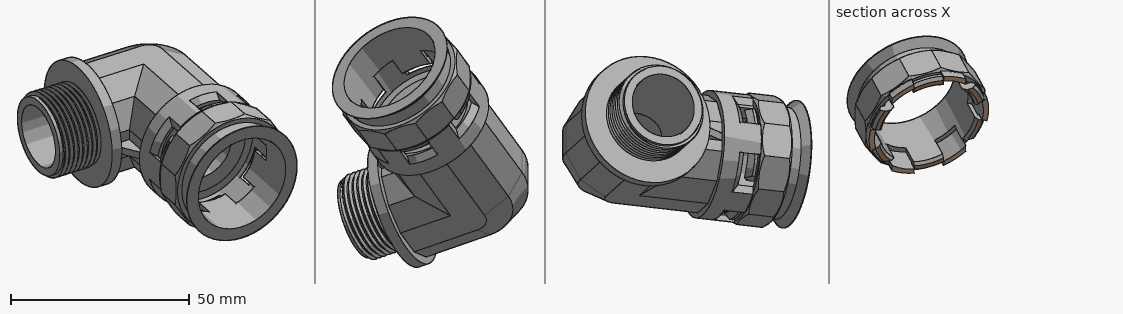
import cadquery as cq
import math


SIDES = 12
ELBOW_APOTHEM = 16.0
BORE_RADIUS = 9.2
FLANGE_RADIUS = 18.55
FLANGE_TOP = 20.0
FLANGE_THICKNESS = 3.1
THREADED_END = 36.05
RIB_THICKNESS = 2.2
SPIGOT_RADIUS = 13.8

THREAD_ROOT_RADIUS = 11.55
THREAD_HEIGHT = 1.0
THREAD_BASE = 1.1
THREAD_TURNS = 9
THREAD_LENGTH = 13.5
THREAD_SINK = 0.2
THREAD_START = 22.35
THREAD_END = 34.9

SLEEVE_START = 24.7
SLEEVE_RADIUS = 18.0
SLEEVE_BORE_RADIUS = 16.25
WINDOW_START = 29.4
GRIP_START = 35.7
GRIP_END = 44.95
GRIP_APOTHEM = 17.9
GRIP_FACE_RADIUS = 17.65
WINDOW_HALF_WIDTH = 4.35
CORNER_WINDOW_Y = 11.1
CORNER_WINDOW_Z = 4.5
CORNER_WALL_SLOPE = 30

INSERT_RADIUS = 15.8
INSERT_BORE_RADIUS = 14.25
INSERT_END = 50.6
RIM_RADIUS = 18.0
RIM_WIDTH = 0.2
CLAW_TIP = 32.65
BARB_RADIUS = 17.35
BARB_END = 35.1
CORNER_CLAW_TOP = 9.95
CLAW_ARM_END = 40.1

MARGIN = 0.7


def dodecagon(apothem):
    """Corners of a regular twelve-sided outline with flats on both axes."""
    corner_radius = apothem / math.cos(math.pi / SIDES)
    angles = [math.pi * (2 * i + 1) / SIDES for i in range(SIDES)]
    return [(corner_radius * math.cos(a), corner_radius * math.sin(a)) for a in angles]


def prism_along_x(outline, start, end):
    """Prism with a (y, z) outline between two X positions."""
    return cq.Workplane("YZ", origin=(start, 0, 0)).polyline(outline).close().extrude(end - start)


def cylinder_along_x(radius, start, end):
    return cq.Workplane("YZ", origin=(start, 0, 0)).circle(radius).extrude(end - start)


def cylinder_down_y(radius, start, end):
    """Cylinder on the Y axis between two distances in the -Y direction."""
    return cq.Workplane("XZ", origin=(0, -start, 0)).circle(radius).extrude(end - start)


def ring_about_x(profile):
    """Revolve a closed (x, radius) profile about the X axis."""
    return cq.Workplane("XY").polyline(profile).close().revolve(360, (0, 0, 0), (1, 0, 0))


def box_between(low, high):
    size = [b - a for a, b in zip(low, high)]
    return cq.Workplane("XY").box(*size, centered=False).translate(low)


def mirrored_corners(block):
    """The block and its mirror images in all four Y/Z quadrants."""
    pair = block.union(block.mirror("XZ"))
    return pair.union(pair.mirror("XY"))


def make_elbow_shell():
    conduit_leg = prism_along_x(dodecagon(ELBOW_APOTHEM), 0, SLEEVE_START)
    threaded_leg = cq.Workplane("XZ").polyline(dodecagon(ELBOW_APOTHEM)).close().extrude(FLANGE_TOP)

    half_outline = [p for p in dodecagon(ELBOW_APOTHEM) if p[0] > 0]
    half_outline = [(0, -ELBOW_APOTHEM)] + sorted(half_outline, key=lambda p: p[1]) + [(0, ELBOW_APOTHEM)]
    bend = cq.Workplane("XZ").polyline(half_outline).close().revolve(360, (0, 0, 0), (0, 1, 0))
    return conduit_leg.union(threaded_leg).union(bend)


def make_rib():
    """Triangular web between the flange and the end of the conduit leg."""
    outline = [
        (0, -ELBOW_APOTHEM),
        (SLEEVE_START, -ELBOW_APOTHEM),
        (FLANGE_RADIUS, -FLANGE_TOP),
        (0, -FLANGE_TOP),
    ]
    return cq.Workplane("XY").polyline(outline).close().extrude(RIB_THICKNESS / 2, both=True)


def make_thread():
    """Right-hand helical ridge around the threaded leg."""
    pitch = THREAD_LENGTH / THREAD_TURNS
    helix = cq.Wire.makeHelix(pitch, THREAD_LENGTH, THREAD_ROOT_RADIUS)
    inner = THREAD_ROOT_RADIUS - THREAD_SINK
    half_base = THREAD_BASE / 2 * (THREAD_HEIGHT + THREAD_SINK) / THREAD_HEIGHT
    tooth = [(inner, -half_base), (THREAD_ROOT_RADIUS + THREAD_HEIGHT, 0), (inner, half_base)]
    ridge = cq.Workplane("XZ").polyline(tooth).close().sweep(cq.Workplane(helix), isFrenet=True)
    ridge = ridge.rotate((0, 0, 0), (0, 0, 1), 180).rotate((0, 0, 0), (1, 0, 0), 90)
    ridge = ridge.translate((0, -THREAD_START, 0))
    return ridge.intersect(cylinder_down_y(FLANGE_RADIUS, FLANGE_TOP, THREAD_END))


def make_housing():
    flange = cylinder_down_y(FLANGE_RADIUS, FLANGE_TOP, FLANGE_TOP + FLANGE_THICKNESS)
    thread_core = cylinder_down_y(THREAD_ROOT_RADIUS, FLANGE_TOP, THREADED_END)
    spigot = cylinder_along_x(SPIGOT_RADIUS, 0, WINDOW_START)
    threaded_stub = thread_core.union(make_thread())
    housing = make_elbow_shell().union(make_rib()).union(flange).union(spigot).union(threaded_stub)

    bore = cylinder_along_x(BORE_RADIUS, 0, WINDOW_START + MARGIN)
    bore = bore.union(cylinder_down_y(BORE_RADIUS, 0, THREADED_END + MARGIN))
    bore = bore.union(cq.Workplane("XY").sphere(BORE_RADIUS))
    return housing.cut(bore)


def make_grip():
    """Twelve-sided grip with its corners chamfered by a cone at both ends."""
    corner_radius = GRIP_APOTHEM / math.cos(math.pi / SIDES)
    chamfer = corner_radius - GRIP_FACE_RADIUS
    barrel = ring_about_x([
        (GRIP_START, 0),
        (GRIP_START, GRIP_FACE_RADIUS),
        (GRIP_START + chamfer, corner_radius),
        (GRIP_END - chamfer, corner_radius),
        (GRIP_END, GRIP_FACE_RADIUS),
        (GRIP_END, 0),
    ])
    return prism_along_x(dodecagon(GRIP_APOTHEM), GRIP_START, GRIP_END).intersect(barrel)


def corner_wall_z(y):
    """Height of the sloping wall of a corner window at a given y."""
    surface_y = math.sqrt(SLEEVE_RADIUS**2 - CORNER_WINDOW_Z**2)
    return CORNER_WINDOW_Z + math.tan(math.radians(CORNER_WALL_SLOPE)) * (y - surface_y)


def make_windows():
    """Six openings through the sleeve wall, each with a 45 degree wall at its elbow end."""
    wall = SLEEVE_RADIUS - SLEEVE_BORE_RADIUS
    ring = ring_about_x([
        (WINDOW_START - MARGIN, SLEEVE_RADIUS + MARGIN),
        (WINDOW_START + wall + MARGIN, SLEEVE_BORE_RADIUS - MARGIN),
        (GRIP_START, SLEEVE_BORE_RADIUS - MARGIN),
        (GRIP_START, SLEEVE_RADIUS + MARGIN),
    ])
    reach = SLEEVE_RADIUS + MARGIN
    middle = box_between(
        (SLEEVE_START, -WINDOW_HALF_WIDTH, -reach),
        (GRIP_START, WINDOW_HALF_WIDTH, reach),
    )

    corner_outline = [
        (CORNER_WINDOW_Y, corner_wall_z(CORNER_WINDOW_Y)),
        (reach, corner_wall_z(reach)),
        (reach, reach),
        (CORNER_WINDOW_Y, reach),
    ]
    corner = prism_along_x(corner_outline, SLEEVE_START, GRIP_START)
    return ring.intersect(middle.union(mirrored_corners(corner)))


def make_nut():
    nut = cylinder_along_x(SLEEVE_RADIUS, SLEEVE_START, GRIP_START).union(make_grip())
    nut = nut.cut(cylinder_along_x(SPIGOT_RADIUS, SLEEVE_START, WINDOW_START))
    nut = nut.cut(cylinder_along_x(SLEEVE_BORE_RADIUS, WINDOW_START, GRIP_END))
    return nut.cut(make_windows())


def make_claws():
    """Six barbed arms, each with its barb in one window of the nut."""
    barb_rise = BARB_RADIUS - INSERT_RADIUS
    barb_fall = GRIP_START - BARB_END
    ring = ring_about_x([
        (CLAW_TIP, INSERT_RADIUS),
        (CLAW_TIP + barb_rise, BARB_RADIUS),
        (BARB_END, BARB_RADIUS),
        (GRIP_START, BARB_RADIUS - barb_fall),
        (GRIP_START, INSERT_RADIUS),
        (CLAW_ARM_END, INSERT_RADIUS),
        (CLAW_ARM_END, INSERT_BORE_RADIUS),
        (CLAW_TIP + INSERT_RADIUS - INSERT_BORE_RADIUS, INSERT_BORE_RADIUS),
    ])
    middle = box_between(
        (CLAW_TIP, -WINDOW_HALF_WIDTH, -SLEEVE_RADIUS),
        (CLAW_ARM_END, WINDOW_HALF_WIDTH, SLEEVE_RADIUS),
    )
    inner_y = math.sqrt(INSERT_BORE_RADIUS**2 - CORNER_CLAW_TOP**2)
    corner_outline = [
        (inner_y, corner_wall_z(inner_y)),
        (SLEEVE_RADIUS, corner_wall_z(SLEEVE_RADIUS)),
        (SLEEVE_RADIUS, CORNER_CLAW_TOP),
        (inner_y, CORNER_CLAW_TOP),
    ]
    corner = prism_along_x(corner_outline, CLAW_TIP, CLAW_ARM_END)
    return ring.intersect(middle).union(ring.intersect(mirrored_corners(corner)))


def make_insert():
    """Sleeve with a flared rim outside the nut and claws inside it."""
    flare = RIM_RADIUS - INSERT_RADIUS
    rim_start = INSERT_END - RIM_WIDTH
    sleeve = ring_about_x([
        (CLAW_ARM_END, INSERT_BORE_RADIUS),
        (CLAW_ARM_END, INSERT_RADIUS),
        (rim_start - flare, INSERT_RADIUS),
        (rim_start, RIM_RADIUS),
        (INSERT_END, RIM_RADIUS),
        (INSERT_END, INSERT_BORE_RADIUS),
    ])
    return sleeve.union(make_claws())


housing = make_housing()
nut = make_nut()
insert = make_insert()

result = cq.Compound.makeCompound([housing.solids().val(), nut.solids().val(), insert.solids().val()])